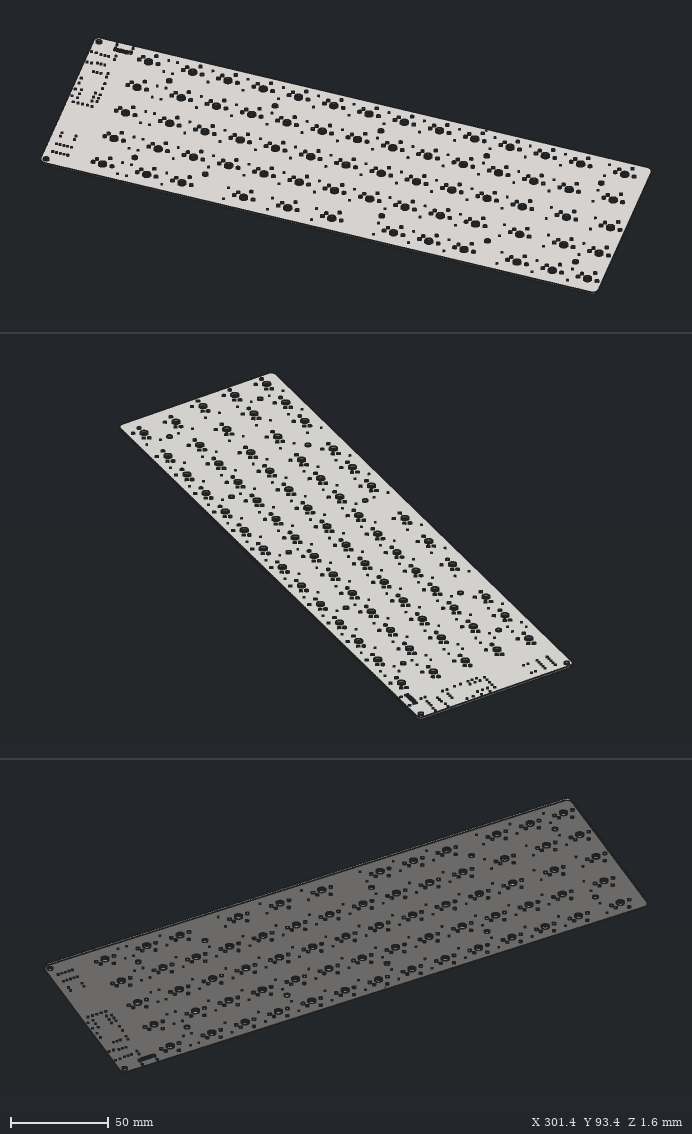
import cadquery as cq

LENGTH = 301.45
WIDTH = 93.4
THICKNESS = 1.6
CORNER_RADIUS = 3.0

KEY_PITCH = 19.05
FIRST_COLUMN_X = -6.25 * KEY_PITCH
COMMON_KEYS = [0] + [1.25 + step for step in range(10)]
KEY_ROWS = [
    COMMON_KEYS + [11.25, 12.25, 13.5],
    COMMON_KEYS + [11.25, 12.25, 13.5],
    COMMON_KEYS + [11.25, 12.5, 13.75],
    COMMON_KEYS + [11.5, 12.75, 13.75],
    [0, 1.25, 2.25, 4, 5.25, 6.5, 8.25, 9.25, 10.25, 11.75, 12.75, 13.75],
]
MIDDLE_ROW = (len(KEY_ROWS) - 1) / 2

SWITCH_POST_DIAMETER = 3.99
SWITCH_PEG_DIAMETER = 1.7
SWITCH_PEG_OFFSET = 5.08
SWITCH_PIN_DIAMETER = 1.5
SWITCH_PINS = [(-3.81, 2.54), (2.54, 5.08)]

DIODE_HOLE_DIAMETER = 0.73
DIODE_LEAD_SPACING = 8.29
DIODE_OFFSET = KEY_PITCH / 2

SCREW_HOLE_DIAMETER = 2.7
UPPER_SCREW_COLUMNS = [0.75, 3.75, 6.75, 9.75, 13]
LOWER_SCREW_COLUMNS = [0.75, 2.75, 7.75, 10.75, 13.25]
SCREW_ROW_Y = 1.5 * KEY_PITCH
CORNER_SCREW_INSET = 3.0

USB_X = -133.95
USB_PIN_DIAMETER = 0.4
USB_PIN_COUNT = 8
USB_PIN_PITCH = 0.85
USB_PIN_ROW_SPACING = 1.35
USB_SHELL_SPACING = 8.65
USB_SLOT_WIDTH = 0.6
USB_REAR_SLOT_LENGTH = 2.1
USB_FRONT_SLOT_LENGTH = 1.4
USB_REAR_SLOT_INSET = 5.3
USB_SLOT_ROW_SPACING = 3.38
USB_PINS_BEHIND_REAR_SLOT = 0.98
USB_REAR_SLOT_Y = WIDTH / 2 - USB_REAR_SLOT_INSET
USB_FRONT_SLOT_Y = USB_REAR_SLOT_Y + USB_SLOT_ROW_SPACING
USB_REAR_PIN_ROW_Y = USB_REAR_SLOT_Y - USB_PINS_BEHIND_REAR_SLOT
USB_FRONT_PIN_ROW_Y = USB_REAR_PIN_ROW_Y + USB_PIN_ROW_SPACING

PARTS_INSET = 8.725
PARTS_X = -LENGTH / 2 + PARTS_INSET

LEAD_HOLE_DIAMETER = 0.8
RESISTOR_LEAD_SPACING = 7.62
LOWER_RESISTOR_YS = [-23.55, -26.08]
UPRIGHT_RESISTOR_XS = [PARTS_X - 7.1, PARTS_X - 4.6]
UPRIGHT_RESISTOR_Y = 32.05
LONG_PART_YS = [16.4, 12.7]
LONG_PART_LEAD_SPACING = 12.7
CAPACITOR_X = PARTS_X + 5.8
CAPACITOR_YS = [35.46, 22.5]
CAPACITOR_LEAD_SPACING = 2.5

SMALL_PIN_DIAMETER = 0.75
SMALL_PIN_PITCH = 2.0
THREE_PIN_X = PARTS_X + 0.2
THREE_PIN_YS = [35.4, 29.05, 22.7]
FIVE_PIN_Y = -31.75
LARGE_END_CONNECTOR_Y = -37.69
END_PIN_DIAMETER = 1.0

MODULE_X = PARTS_X + 0.05
MODULE_Y = 5.6
MODULE_PIN_PITCH = 2.5
MODULE_LEFT_PIN_X = PARTS_X - 6.9
MODULE_RIGHT_PIN_X = PARTS_X + 6.6
MODULE_RESISTOR_PITCH = 3.0
HEADER_PIN_COUNT = 5
HEADER_PIN_DIAMETER = 0.86
HEADER_PIN_PITCH = 2.54
HEADER_Y = MODULE_Y - 6.5


def spread(count, pitch, middle=0.0):
    """Evenly spaced positions centred on `middle`."""
    return [middle + (index - (count - 1) / 2) * pitch for index in range(count)]


def row_of(count, pitch, x, y):
    """Points along X, centred on (x, y)."""
    return [(px, y) for px in spread(count, pitch, x)]


def column_of(count, pitch, x, y):
    """Points along Y, centred on (x, y)."""
    return [(x, py) for py in spread(count, pitch, y)]


def drill(board, points, diameter):
    """Cut a round through hole at every point."""
    drills = cq.Workplane().pushPoints(points).circle(diameter / 2).extrude(THICKNESS)
    return board.cut(drills)


def key_x(column):
    return FIRST_COLUMN_X + column * KEY_PITCH


def key_centres():
    centres = []
    for row, columns in enumerate(KEY_ROWS):
        y = (MIDDLE_ROW - row) * KEY_PITCH
        centres += [(key_x(column), y) for column in columns]
    return centres


def make_blank():
    blank = cq.Workplane().rect(LENGTH, WIDTH).extrude(THICKNESS)
    return blank.edges("|Z").fillet(CORNER_RADIUS)


def add_switch_holes(board):
    centres = key_centres()
    pegs = []
    pins = []
    for x, y in centres:
        pegs += row_of(2, 2 * SWITCH_PEG_OFFSET, x, y)
        pins += [(x + dx, y + dy) for dx, dy in SWITCH_PINS]
    board = drill(board, centres, SWITCH_POST_DIAMETER)
    board = drill(board, pegs, SWITCH_PEG_DIAMETER)
    return drill(board, pins, SWITCH_PIN_DIAMETER)


def add_diode_holes(board):
    leads = []
    for x, y in key_centres():
        side = 1 if x == FIRST_COLUMN_X else -1
        leads += column_of(2, DIODE_LEAD_SPACING, x + side * DIODE_OFFSET, y)
    return drill(board, leads, DIODE_HOLE_DIAMETER)


def add_screw_holes(board):
    screws = [(key_x(column), SCREW_ROW_Y) for column in UPPER_SCREW_COLUMNS]
    screws += [(key_x(column), -SCREW_ROW_Y) for column in LOWER_SCREW_COLUMNS]
    corner_x = -LENGTH / 2 + CORNER_SCREW_INSET
    screws += column_of(2, WIDTH - 2 * CORNER_SCREW_INSET, corner_x, 0)
    return drill(board, screws, SCREW_HOLE_DIAMETER)


def add_usb_socket(board):
    pins = []
    for y in (USB_REAR_PIN_ROW_Y, USB_FRONT_PIN_ROW_Y):
        pins += row_of(USB_PIN_COUNT, USB_PIN_PITCH, USB_X, y)
    board = drill(board, pins, USB_PIN_DIAMETER)
    slots = [(USB_REAR_SLOT_Y, USB_REAR_SLOT_LENGTH), (USB_FRONT_SLOT_Y, USB_FRONT_SLOT_LENGTH)]
    for y, length in slots:
        outline = cq.Workplane().pushPoints(row_of(2, USB_SHELL_SPACING, USB_X, y))
        board = board.cut(outline.slot2D(length, USB_SLOT_WIDTH, 90).extrude(THICKNESS))
    return board


def add_two_lead_parts(board):
    leads = []
    for y in LOWER_RESISTOR_YS:
        leads += row_of(2, RESISTOR_LEAD_SPACING, PARTS_X, y)
    for x in UPRIGHT_RESISTOR_XS:
        leads += column_of(2, RESISTOR_LEAD_SPACING, x, UPRIGHT_RESISTOR_Y)
    for y in LONG_PART_YS:
        leads += row_of(2, LONG_PART_LEAD_SPACING, PARTS_X, y)
    for y in CAPACITOR_YS:
        leads += column_of(2, CAPACITOR_LEAD_SPACING, CAPACITOR_X, y)
    return drill(board, leads, LEAD_HOLE_DIAMETER)


def add_connectors(board):
    pins = row_of(5, SMALL_PIN_PITCH, PARTS_X, FIVE_PIN_Y)
    for y in THREE_PIN_YS:
        pins += row_of(3, SMALL_PIN_PITCH, THREE_PIN_X, y)
    pins += row_of(3, SMALL_PIN_PITCH, PARTS_X, LARGE_END_CONNECTOR_Y)
    end_pins = row_of(2, 4 * SMALL_PIN_PITCH, PARTS_X, LARGE_END_CONNECTOR_Y)
    board = drill(board, pins, SMALL_PIN_DIAMETER)
    return drill(board, end_pins, END_PIN_DIAMETER)


def add_module(board):
    leads = column_of(2, 2 * MODULE_PIN_PITCH, MODULE_LEFT_PIN_X, MODULE_Y)
    leads += column_of(3, MODULE_PIN_PITCH, MODULE_RIGHT_PIN_X, MODULE_Y)
    for y in spread(3, MODULE_RESISTOR_PITCH, MODULE_Y):
        leads += row_of(2, RESISTOR_LEAD_SPACING, MODULE_X, y)
    header = row_of(HEADER_PIN_COUNT, HEADER_PIN_PITCH, MODULE_X, HEADER_Y)
    board = drill(board, leads, LEAD_HOLE_DIAMETER)
    return drill(board, header, HEADER_PIN_DIAMETER)


result = make_blank()
result = add_switch_holes(result)
result = add_diode_holes(result)
result = add_screw_holes(result)
result = add_usb_socket(result)
result = add_two_lead_parts(result)
result = add_connectors(result)
result = add_module(result)